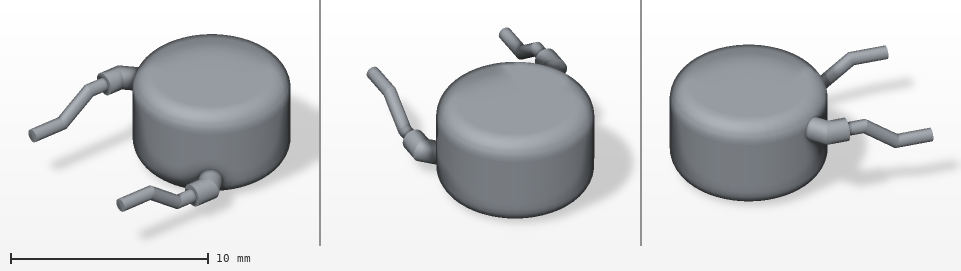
import cadquery as cq
import math

DISC_DIAMETER = 8.0
DISC_HEIGHT = 5.0
DISC_EDGE_RADIUS = 1.0

LEAD_PITCH = 7.5
LEAD_DIAMETER = 0.7
LEAD_EXIT_HEIGHT = 1.3
LEAD_LENGTH = 4.5
FIRST_BEND = 0.94
SECOND_BEND = 2.63

SLEEVE_DIAMETER = 1.2
SLEEVE_STRAIGHT = 1.0
SLEEVE_ANGLE = 45.0
SLEEVE_ROOT_RUN = 2.0

SLEEVE_END_Y = -DISC_DIAMETER / 2


def mitred_rod(points, diameter):
    """Round rod along a polyline that starts in the Y direction, with mitred bends."""
    path = cq.Workplane("XY").polyline(points)
    profile = cq.Workplane("XZ", origin=points[0]).circle(diameter / 2)
    return profile.sweep(path, transition="right")


def make_sleeve(side):
    """Sleeve on one side: -1 is the left upper one, +1 the right lower one."""
    x = side * LEAD_PITCH / 2
    z = -side * LEAD_EXIT_HEIGHT
    bend_y = SLEEVE_END_Y + SLEEVE_STRAIGHT
    root_x = x - side * SLEEVE_ROOT_RUN * math.sin(math.radians(SLEEVE_ANGLE))
    root_y = bend_y + SLEEVE_ROOT_RUN * math.cos(math.radians(SLEEVE_ANGLE))
    points = [(x, SLEEVE_END_Y, z), (x, bend_y, z), (root_x, root_y, z)]
    return mitred_rod(points, SLEEVE_DIAMETER)


def make_coated_disc():
    """Round-edged disc in one piece with the sleeves on both lead roots."""
    disc = cq.Workplane("XY").cylinder(DISC_HEIGHT, DISC_DIAMETER / 2)
    disc = disc.faces("|Z").edges().fillet(DISC_EDGE_RADIUS)
    for side in (-1, 1):
        disc = disc.union(make_sleeve(side))
    return disc


def make_lead(side):
    """Lead that starts on the sleeve end face and steps to the mid-plane of the disc."""
    x = side * LEAD_PITCH / 2
    exit_z = -side * LEAD_EXIT_HEIGHT
    points = [
        (x, SLEEVE_END_Y, exit_z),
        (x, SLEEVE_END_Y - FIRST_BEND, exit_z),
        (x, SLEEVE_END_Y - SECOND_BEND, 0),
        (x, SLEEVE_END_Y - LEAD_LENGTH, 0),
    ]
    return mitred_rod(points, LEAD_DIAMETER)


coated_disc = make_coated_disc()
leads = [make_lead(side) for side in (-1, 1)]

result = cq.Compound.makeCompound([coated_disc.solids().val(), *[lead.solids().val() for lead in leads]])